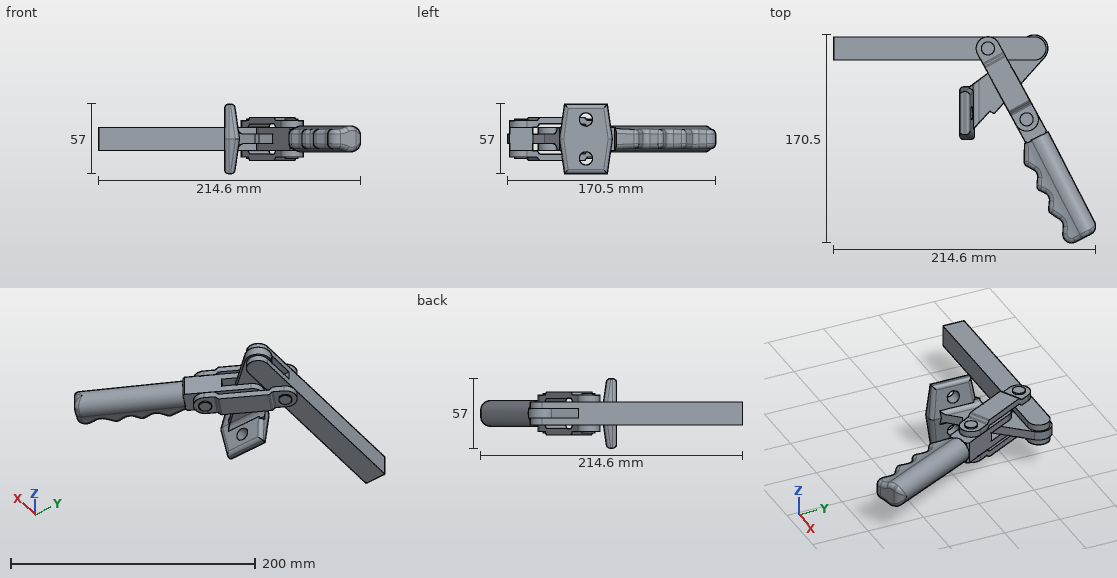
import cadquery as cq
import math


bar_width = 19.0
bar_thickness = 19.0
bar_pivot_x = 164.4
web_thickness = 7.7

link_pivot_x = 126.4
link_length = 66.0
link_angle = -61.4
rivet_radius = 5.4

all_through = 128.7
tolerance = 0.1


def on_link_line(shape):
    """Move a body from the link frame (first rivet at the origin, link along +X) into place."""
    return shape.rotate((0, 0, 0), (0, 0, 1), link_angle).translate((link_pivot_x, 0, 0))


bar_slot_start = 134.5


def make_bar():
    body = (
        cq.Workplane("XY")
        .rect(bar_pivot_x, bar_width)
        .extrude(bar_thickness / 2, both=True)
        .translate((bar_pivot_x / 2, 0, 0))
    )
    eye = (
        cq.Workplane("XY")
        .center(bar_pivot_x, 0)
        .circle(bar_width / 2)
        .extrude(bar_thickness / 2, both=True)
    )
    slot_length = bar_pivot_x + bar_width - bar_slot_start
    slot = cq.Workplane("XY").box(slot_length, all_through, web_thickness).translate(
        (bar_slot_start + slot_length / 2, 0, 0)
    )
    rivet_hole = (
        cq.Workplane("XY").center(link_pivot_x, 0).circle(rivet_radius).extrude(all_through, both=True)
    )
    return body.union(eye).cut(slot).cut(rivet_hole)


base_eye_radius = 11.2
flange_front_x = 103.2
flange_ridge_x = 115.5
flange_edge_x = 111.4
flange_height = 57.0
flange_y = -53.0
flange_mid_width = 43.3
flange_end_width = 35.2
flange_round = 3.5
mount_hole_diameter = 10.7
mount_hole_pitch = 31.8

flare_end_x = 119.0
flare_radius = 5.1

web_top_bend = (127.9, -19.0)
web_top_flange = (111.1, -31.5)
web_bottom_flange = (113.0, -67.4)
stop_notch = (127.9, -51.5)
stop_tip = (131.5, -53.5)


def eye_tangent_point(point, side):
    """Where the line from a point touches the base eye; side is 1 for the upper, -1 for the lower touch."""
    dx = bar_pivot_x - point[0]
    dy = -point[1]
    line_angle = math.atan2(dy, dx) + side * math.asin(base_eye_radius / math.hypot(dx, dy))
    return (
        bar_pivot_x - side * base_eye_radius * math.sin(line_angle),
        side * base_eye_radius * math.cos(line_angle),
    )


def round_flange_rim(plate):
    """Round the front and back rims, but not the short edges that cross the flange thickness."""
    top_and_bottom = plate.edges("|Y").edges(">Z or <Z")
    sloping_sides = plate.edges("not (|X or |Y)")
    return plate.newObject(top_and_bottom.vals() + sloping_sides.vals()).fillet(flange_round)


def make_flange():
    half_height = flange_height / 2
    half_mid = flange_mid_width / 2
    half_end = flange_end_width / 2
    outline = (
        cq.Workplane("YZ")
        .polyline(
            [
                (flange_y - half_end, -half_height),
                (flange_y + half_end, -half_height),
                (flange_y + half_mid, 0),
                (flange_y + half_end, half_height),
                (flange_y - half_end, half_height),
                (flange_y - half_mid, 0),
            ]
        )
        .close()
        .extrude(flange_ridge_x)
    )
    section = (
        cq.Workplane("XZ")
        .polyline(
            [
                (flange_front_x, -half_height),
                (flange_edge_x, -half_height),
                (flange_ridge_x, 0),
                (flange_edge_x, half_height),
                (flange_front_x, half_height),
            ]
        )
        .close()
        .extrude(all_through)
    )
    plate = outline.intersect(section)
    holes = (
        cq.Workplane("YZ")
        .center(flange_y, 0)
        .rarray(2.1, mount_hole_pitch, 1, 2)
        .circle(mount_hole_diameter / 2)
        .extrude(all_through * 2)
    )
    return round_flange_rim(plate).cut(holes)


def make_web():
    plan = [
        web_top_flange,
        web_top_bend,
        eye_tangent_point(web_top_bend, 1),
        (bar_pivot_x, 0),
        eye_tangent_point(stop_tip, -1),
        stop_tip,
        stop_notch,
        web_bottom_flange,
    ]
    full_height = cq.Workplane("XY").polyline(plan).close().extrude(flange_height / 2, both=True)
    eye = (
        cq.Workplane("XY")
        .center(bar_pivot_x, 0)
        .circle(base_eye_radius)
        .extrude(web_thickness / 2, both=True)
    )
    half = web_thickness / 2
    flare_start_x = flare_end_x - flare_radius
    root_x = web_top_flange[0]
    eye_end_x = bar_pivot_x + base_eye_radius
    section = (
        cq.Workplane("XZ")
        .moveTo(root_x, -half - flare_radius)
        .lineTo(flare_start_x, -half - flare_radius)
        .radiusArc((flare_end_x, -half), flare_radius)
        .lineTo(eye_end_x, -half)
        .lineTo(eye_end_x, half)
        .lineTo(flare_end_x, half)
        .radiusArc((flare_start_x, half + flare_radius), flare_radius)
        .lineTo(root_x, half + flare_radius)
        .close()
        .extrude(all_through, both=True)
    )
    return full_height.intersect(section).union(eye)


def make_base():
    return make_flange().union(make_web())


handle_eye_t = 27.0
handle_half_width = 9.9
handle_slot_end = 51.5
grip_start = 83.0
shank_overlap = 0.5
shank_corner = 1.7
grip_tilt = -1.4
grip_length = 90.8
grip_radius = 10.7
pad_start = -4.7
pad_half_thickness = 7.7
tip_y = -19.3
valley_y = -12.0
tip_places = [15.0, 37.5, 58.5]
valley_places = [26.0, 47.2, 71.5]
grip_start_y = -11.2
grip_end_y = -23.4
tip_round = 4.3
valley_round = 6.0
end_round = 7.3
grip_edge_round = 3.9


def round_upright_edges(body, points, radius):
    for x, y in points:
        near = cq.selectors.BoxSelector(
            (x - tolerance, y - tolerance, -all_through), (x + tolerance, y + tolerance, all_through)
        )
        body = body.edges("|Z").edges(near).fillet(radius)
    return body


def round_grip_rims(grip):
    """Round the rims along the finger zigzag and the end, but not the start face or the pad seams."""
    rims = []
    for edge in grip.edges("not |Z").vals():
        box = edge.BoundingBox()
        on_start_face = box.xmax < tolerance
        along_pad_seam = box.ymax - box.ymin < tolerance and abs(box.ymin - pad_start) < tolerance
        if not (on_start_face or along_pad_seam):
            rims.append(edge)
    return grip.newObject(rims).fillet(grip_edge_round)


def make_grip():
    tips = [(place, tip_y) for place in tip_places]
    valleys = [(place, valley_y) for place in valley_places]
    zigzag = [point for pair in zip(tips, valleys) for point in pair]
    end_tip = (grip_length, grip_end_y)
    end_back = (grip_length, grip_radius)
    plan = (
        cq.Workplane("XY")
        .polyline([(0, grip_radius), (0, grip_start_y)] + zigzag + [end_tip, end_back])
        .close()
        .extrude(2 * grip_radius, both=True)
    )
    plan = round_upright_edges(plan, tips, tip_round)
    plan = round_upright_edges(plan, valleys, valley_round)
    plan = round_upright_edges(plan, [end_tip, end_back], end_round)

    pad_join_z = math.sqrt(grip_radius**2 - pad_start**2)
    section = (
        cq.Workplane("YZ")
        .moveTo(pad_start, -pad_join_z)
        .threePointArc((grip_radius, 0), (pad_start, pad_join_z))
        .spline([(grip_end_y, pad_half_thickness)], [(-pad_join_z, pad_start), (-1, 0)], includeCurrent=True)
        .lineTo(grip_end_y, -pad_half_thickness)
        .spline([(pad_start, -pad_join_z)], [(1, 0), (pad_join_z, pad_start)], includeCurrent=True)
        .close()
        .extrude(grip_length)
    )
    return round_grip_rims(plan.intersect(section))


def make_handle():
    half = bar_thickness / 2
    shank_end = grip_start + shank_overlap
    shank = (
        cq.Workplane("XY")
        .moveTo(handle_eye_t, handle_half_width)
        .threePointArc((handle_eye_t - handle_half_width, 0), (handle_eye_t, -handle_half_width))
        .lineTo(shank_end - shank_corner, -handle_half_width)
        .lineTo(shank_end, shank_corner - handle_half_width)
        .lineTo(shank_end, handle_half_width - shank_corner)
        .lineTo(shank_end - shank_corner, handle_half_width)
        .close()
        .extrude(half, both=True)
    )
    grip = make_grip().rotate((0, 0, 0), (0, 0, 1), grip_tilt).translate((grip_start, 0, 0))
    slot = cq.Workplane("XY").box(2 * handle_slot_end, all_through, web_thickness)
    rivet_hole = (
        cq.Workplane("XY").center(link_length, 0).circle(rivet_radius).extrude(half, both=True)
    )
    return on_link_line(shank.cut(slot).cut(rivet_hole).union(grip))


link_half_width = 9.7
link_thickness = 5.4
joggle_rise = 2.8
joggle_start = 9.5
joggle_end = 12.0
joggle_round = 1.5
rivet_head_height = 1.3


def make_strap():
    """One joggled strap, above the bar: flat tabs at the rivets and a raised middle."""
    base_z = bar_thickness / 2
    lower_face = [
        (-link_half_width, base_z),
        (joggle_start, base_z),
        (joggle_end, base_z + joggle_rise),
        (link_length - joggle_end, base_z + joggle_rise),
        (link_length - joggle_start, base_z),
        (link_length + link_half_width, base_z),
    ]
    upper_face = [(t, z + link_thickness) for t, z in reversed(lower_face)]
    strap = (
        cq.Workplane("XZ")
        .polyline(lower_face + upper_face)
        .close()
        .extrude(link_half_width, both=True)
    )
    bends = cq.selectors.BoxSelector((0, -all_through, 0), (link_length, all_through, all_through))
    strap = strap.edges("|Y").edges(bends).fillet(joggle_round)
    plan = (
        cq.Workplane("XY")
        .center(link_length / 2, 0)
        .slot2D(link_length + 2 * link_half_width, 2 * link_half_width)
        .extrude(all_through)
    )
    return strap.intersect(plan)


def make_link():
    strap = make_strap()
    rivets = (
        cq.Workplane("XY")
        .pushPoints([(0, 0), (link_length, 0)])
        .circle(rivet_radius)
        .extrude(bar_thickness / 2 + link_thickness + rivet_head_height, both=True)
    )
    return on_link_line(rivets.union(strap).union(strap.mirror("XY")))


bar = make_bar()
base = make_base()
handle = make_handle()
link = make_link()

result = cq.Compound.makeCompound([bar.val(), base.val(), handle.val(), link.val()])